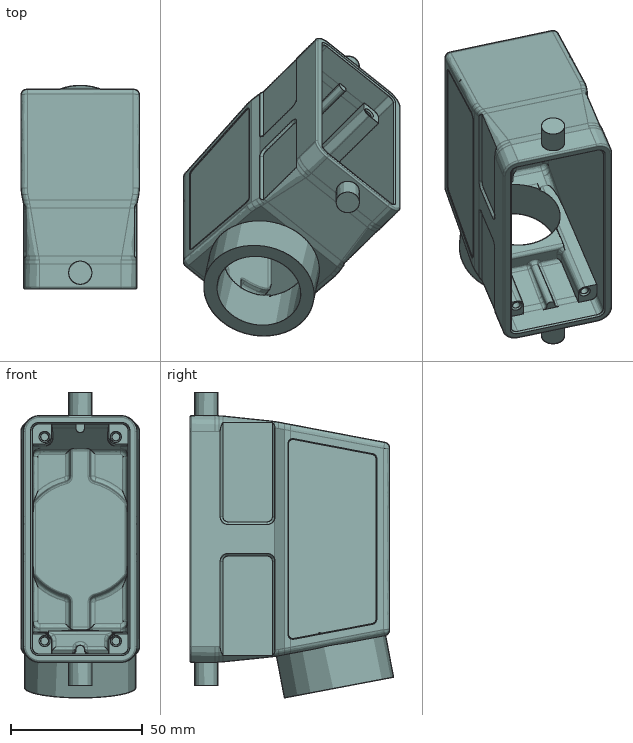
import cadquery as cq
import math


DEPTH = 75.8
MOUTH_HALF_X = 21.5
BACK_HALF_X = 22.5
MOUTH_HALF_Z = 46.8
WAIST_HALF_Z = 44.6
MOUTH_END_Y = 11.1
WAIST_Y = 32.2
SHOULDER_Y = 37.1
TILT = 10.75
MOUTH_CORNER_R = 6.0
BODY_CORNER_R = 2.4
BACK_EDGE_R = 2.3
MOUTH_EDGE_R = 0.7
WALL_EASE = 1.5
SHOULDER_EASE = 1.15

CAVITY_MOUTH_HALF_X = 18.2
CAVITY_BACK_HALF_X = 17.8
CAVITY_MOUTH_HALF_Z = 43.6
CAVITY_WAIST_HALF_Z = 42.0
CAVITY_BACK_HALF_Z = 33.55
CAVITY_CORNER_R = 2.5
BACK_WALL = 2.6
MOUTH_CHAMFER = 0.6

PAD_HEIGHT = 3.0
PAD_DISC_R = 22.9
PAD_BAR_HALF_X = 4.3
PAD_DRAFT = 16.0
PAD_NECK_R = 1.8
PAD_FOOT_R = 1.8
PAD_TOP_R = 0.6
PAD_RIM_R = 0.9

POST_FRONT_Y = 9.0
POST_X = 13.5
POST_Z = 38.7
POST_R = 2.6
POST_DRAFT = 0.9
SCREW_HOLE_D = 3.0
SCREW_HOLE_DEPTH = 20.0
SCREW_CHAMFER = 0.6
RIB_HALF_X = 1.6
RIB_TIP_Z = 40.3

GLAND_D = 42.2
GLAND_BORE_D = 32.0
GLAND_END_Y = 56.58
GLAND_END_Z = -56.37
GLAND_LENGTH = 22.0
GLAND_BORE_LENGTH = 26.0
SEAT_FRONT_Y = 31.5
SEAT_TOP_Z = -34.9
SEAT_HALF_X = 12.0
SEAT_EDGE_R = 1.4

PIN_D = 8.8
PIN_Y = 6.2
PIN_END_Z = 55.6

GRIP_DEPTH = 1.0
GRIP_Y0 = 11.5
GRIP_Y1 = 32.3
GRIP_Z = 5.5
GRIP_CORNER_R = 3.0
PANEL_DEPTH = 0.3
PANEL_Y1 = 70.9
PANEL_MARGIN_Z = 5.2
PANEL_CORNER_R = 2.0
RECESS_DRAFT = 45.0

TILT_SLOPE = math.tan(math.radians(TILT))
BACK_HALF_Z = WAIST_HALF_Z - (DEPTH - WAIST_Y) * TILT_SLOPE
CAVITY_DEPTH = DEPTH - BACK_WALL
PAD_TOP_Y = CAVITY_DEPTH - PAD_HEIGHT
POST_LENGTH = CAVITY_DEPTH - POST_FRONT_Y
CLEARANCE = 1.5


def facing_back(y, x=0, z=0):
    """Workplane at depth y whose normal is +Y; its local axes are +X and -Z."""
    return cq.Workplane(cq.Plane(origin=(x, y, z), xDir=(1, 0, 0), normal=(0, 1, 0)))


def facing_mouth(y):
    """Workplane at depth y whose normal is -Y; its local axes are +X and +Z."""
    return cq.Workplane(cq.Plane(origin=(0, y, 0), xDir=(1, 0, 0), normal=(0, -1, 0)))


def inward_from_side(x):
    """Workplane on the +X side whose normal is -X; its local axes are -Y and +Z."""
    return cq.Workplane(cq.Plane(origin=(x, 0, 0), xDir=(0, -1, 0), normal=(-1, 0, 0)))


def at_depth(y, half_x=BACK_HALF_X, half_z=MOUTH_HALF_Z):
    """Selector of the edges centred in the plane at depth y, within a rectangle."""
    tolerance = 0.01
    return cq.selectors.BoxSelector(
        (-half_x, y - tolerance, -half_z), (half_x, y + tolerance, half_z)
    )


def section_wire(y, half_x, half_z, radius):
    """Rounded rectangle at depth y."""
    outline = cq.Sketch().rect(2 * half_x, 2 * half_z).vertices().fillet(radius)
    return outline.reset().faces().val().outerWire().moved(facing_back(y).plane.location)


def loft_sections(sections):
    """Straight-sided loft through (y, half_x, half_z, corner radius) sections."""
    wires = [section_wire(*section) for section in sections]
    return cq.Workplane(obj=cq.Solid.makeLoft(wires, True)).clean()


def interpolate(knots, y):
    """Value at depth y on the straight-line graph through (y, value) knots."""
    for (y0, value0), (y1, value1) in zip(knots, knots[1:]):
        if y <= y1:
            return value0 + (value1 - value0) * (y - y0) / (y1 - y0)
    raise ValueError("depth beyond the last knot")


def ease(knots, bend_y, half_length):
    """Replace the bend at bend_y by a narrow bevel reaching half_length to each side."""
    eased = []
    for y, value in knots:
        if y == bend_y:
            eased += [(end, interpolate(knots, end)) for end in (y - half_length, y + half_length)]
        else:
            eased.append((y, value))
    return eased


def loft_graphs(graphs, start_y, end_y):
    """Loft whose width, height and corner radius follow three graphs over the depth."""
    bends = {y for graph in graphs for y, _ in graph if start_y < y < end_y}
    depths = sorted(bends | {start_y, end_y})
    return loft_sections([(y, *(interpolate(graph, y) for graph in graphs)) for y in depths])


def outer_body():
    half_x = [
        (0, MOUTH_HALF_X),
        (WAIST_Y, MOUTH_HALF_X),
        (SHOULDER_Y, BACK_HALF_X),
        (DEPTH, BACK_HALF_X),
    ]
    half_z = [
        (0, MOUTH_HALF_Z),
        (MOUTH_END_Y, MOUTH_HALF_Z),
        (WAIST_Y, WAIST_HALF_Z),
        (DEPTH, BACK_HALF_Z),
    ]
    radius = [
        (0, MOUTH_CORNER_R),
        (MOUTH_END_Y, MOUTH_CORNER_R),
        (WAIST_Y, BODY_CORNER_R),
        (DEPTH, BODY_CORNER_R),
    ]
    half_x = ease(half_x, SHOULDER_Y, SHOULDER_EASE)
    half_z = ease(half_z, MOUTH_END_Y, WALL_EASE)
    half_z = ease(half_z, WAIST_Y, WALL_EASE)
    body = loft_graphs((half_x, half_z, radius), 0, DEPTH)
    body = body.faces(">Y").edges().fillet(BACK_EDGE_R)
    return body.faces("<Y").edges().fillet(MOUTH_EDGE_R)


def cavity_space(start_y, end_y):
    """Stretch of the tapering interior between two depths."""
    half_x = [(0, CAVITY_MOUTH_HALF_X), (CAVITY_DEPTH, CAVITY_BACK_HALF_X)]
    half_z = [
        (0, CAVITY_MOUTH_HALF_Z),
        (MOUTH_END_Y, CAVITY_MOUTH_HALF_Z),
        (WAIST_Y, CAVITY_WAIST_HALF_Z),
        (CAVITY_DEPTH, CAVITY_BACK_HALF_Z),
    ]
    half_z = ease(half_z, MOUTH_END_Y, WALL_EASE)
    radius = [(0, CAVITY_CORNER_R), (CAVITY_DEPTH, CAVITY_CORNER_R)]
    return loft_graphs((half_x, half_z, radius), start_y, end_y)


def main_cavity():
    """Interior from the chamfered mouth down to the top of the pad."""
    cavity = cavity_space(0, PAD_TOP_Y).faces(">Y").edges().fillet(PAD_RIM_R)
    inner = (CAVITY_MOUTH_HALF_X, CAVITY_MOUTH_HALF_Z, CAVITY_CORNER_R)
    chamfer = loft_sections([
        (0, *(size + MOUTH_CHAMFER for size in inner)),
        (MOUTH_CHAMFER, *inner),
    ])
    return cavity.union(chamfer)


def pad():
    """Disc crossed by a full-height bar, drafted, standing on the cavity's back face."""
    neck_z = math.sqrt(PAD_DISC_R**2 - PAD_BAR_HALF_X**2)
    bar_end_z = BACK_HALF_Z + PAD_HEIGHT
    outline = (
        cq.Workplane()
        .moveTo(PAD_BAR_HALF_X, neck_z)
        .threePointArc((PAD_DISC_R, 0), (PAD_BAR_HALF_X, -neck_z))
        .lineTo(PAD_BAR_HALF_X, -bar_end_z)
        .lineTo(-PAD_BAR_HALF_X, -bar_end_z)
        .lineTo(-PAD_BAR_HALF_X, -neck_z)
        .threePointArc((-PAD_DISC_R, 0), (-PAD_BAR_HALF_X, neck_z))
        .lineTo(-PAD_BAR_HALF_X, bar_end_z)
        .lineTo(PAD_BAR_HALF_X, bar_end_z)
        .close()
    )
    rounded = cq.Sketch().face(outline.val()).vertices().fillet(PAD_NECK_R)
    height = PAD_HEIGHT + CLEARANCE
    return facing_mouth(CAVITY_DEPTH).placeSketch(rounded).extrude(height, taper=PAD_DRAFT)


def corner_pockets():
    """The four deep corners left around the pad."""
    space = cavity_space(PAD_TOP_Y - CLEARANCE, CAVITY_DEPTH)
    return space.cut(pad()).faces(">Y").edges().fillet(PAD_FOOT_R)


def screw_posts():
    """Drafted corner posts that carry the insert's screws."""
    inner_x = POST_X - POST_R
    inner_z = POST_Z - POST_R
    outer_x = BACK_HALF_X + POST_R
    outer_z = MOUTH_HALF_Z + POST_R
    section = cq.Sketch().rect(outer_x - inner_x, outer_z - inner_z).vertices().fillet(POST_R)
    post = (
        facing_back(POST_FRONT_Y, (inner_x + outer_x) / 2, (inner_z + outer_z) / 2)
        .placeSketch(section)
        .extrude(POST_LENGTH, taper=-POST_DRAFT)
    )
    row = post.union(post.mirror("YZ"))
    return row.union(row.mirror("XY"))


def guide_ribs():
    """Round-nosed ribs along the middle of the top and bottom walls."""
    nose_z = RIB_TIP_Z + RIB_HALF_X
    web_height = MOUTH_HALF_Z - nose_z
    nose = facing_back(POST_FRONT_Y, z=nose_z).circle(RIB_HALF_X).extrude(POST_LENGTH)
    web = (
        facing_back(POST_FRONT_Y, z=nose_z + web_height / 2)
        .rect(2 * RIB_HALF_X, web_height)
        .extrude(POST_LENGTH)
    )
    rib = nose.union(web)
    return rib.union(rib.mirror("XY"))


def gland_seat():
    """Raised block on the bottom wall of the cavity, around the gland bore."""
    height = MOUTH_HALF_Z + SEAT_TOP_Z
    length = CAVITY_DEPTH - SEAT_FRONT_Y
    seat = (
        cq.Workplane("XY", origin=(0, SEAT_FRONT_Y, -MOUTH_HALF_Z))
        .box(2 * SEAT_HALF_X, length, height, centered=(True, False, False))
    )
    return seat.edges("<Y and >Z").fillet(SEAT_EDGE_R)


def cavity_with_fittings():
    """Everything hollow inside the hood, leaving the pad, posts, seat and ribs standing."""
    cavity = main_cavity().union(corner_pockets())
    cavity = cavity.edges(at_depth(PAD_TOP_Y)).fillet(PAD_TOP_R)
    cavity = cavity.cut(screw_posts()).cut(gland_seat())
    cavity = cavity.edges(at_depth(SEAT_FRONT_Y)).fillet(SEAT_EDGE_R)
    cavity = cavity.cut(guide_ribs())
    rib_nose = cavity.edges(at_depth(SEAT_FRONT_Y, half_x=RIB_HALF_X)).edges("%CIRCLE")
    return rib_nose.fillet(SEAT_EDGE_R)


def gland_cylinder(diameter, length):
    """Cylinder from the gland's end face up along the tilted gland axis."""
    tilt = math.radians(TILT)
    axis = (0, -math.sin(tilt), math.cos(tilt))
    plane = cq.Plane(origin=(0, GLAND_END_Y, GLAND_END_Z), xDir=(1, 0, 0), normal=axis)
    return cq.Workplane(plane).circle(diameter / 2).extrude(length)


def locking_pins():
    """Pins rooted in the top and bottom walls of the mouth collar."""
    root_z = CAVITY_MOUTH_HALF_Z + (MOUTH_HALF_Z - CAVITY_MOUTH_HALF_Z) / 2
    pin = (
        cq.Workplane("XY", origin=(0, PIN_Y, root_z))
        .circle(PIN_D / 2)
        .extrude(PIN_END_Z - root_z)
    )
    return pin.union(pin.mirror("XY"))


def screw_holes():
    """Blind holes in the posts with 45 degree lead-ins."""
    hole = facing_back(POST_FRONT_Y, POST_X, POST_Z).circle(SCREW_HOLE_D / 2).extrude(SCREW_HOLE_DEPTH)
    lead_in = (
        facing_back(POST_FRONT_Y, POST_X, POST_Z)
        .circle(SCREW_HOLE_D / 2 + SCREW_CHAMFER)
        .extrude(SCREW_CHAMFER, taper=45)
    )
    corner = hole.union(lead_in)
    row = corner.union(corner.mirror("YZ"))
    return row.union(row.mirror("XY"))


def grip_recess():
    """Drafted side pocket that runs out through the rounded top corner of the body."""
    run_out_z = MOUTH_HALF_Z + GRIP_CORNER_R
    outline = cq.Sketch().rect(GRIP_Y1 - GRIP_Y0, run_out_z - GRIP_Z).vertices().fillet(GRIP_CORNER_R)
    return (
        inward_from_side(MOUTH_HALF_X)
        .center(-(GRIP_Y0 + GRIP_Y1) / 2, (GRIP_Z + run_out_z) / 2)
        .placeSketch(outline)
        .extrude(GRIP_DEPTH, taper=RECESS_DRAFT)
    )


def side_panel():
    """Shallow recess whose sloped edges follow the rear walls."""
    front_z = WAIST_HALF_Z - (SHOULDER_Y - WAIST_Y) * TILT_SLOPE - PANEL_MARGIN_Z
    back_z = front_z - (PANEL_Y1 - SHOULDER_Y) * TILT_SLOPE
    corners = [
        (-SHOULDER_Y, front_z),
        (-PANEL_Y1, back_z),
        (-PANEL_Y1, -back_z),
        (-SHOULDER_Y, -front_z),
    ]
    outline = cq.Sketch().polygon(corners + corners[:1]).vertices().fillet(PANEL_CORNER_R)
    return inward_from_side(BACK_HALF_X).placeSketch(outline).extrude(PANEL_DEPTH, taper=RECESS_DRAFT)


def side_recesses():
    """Grip recesses and panel on both sides of the hood."""
    grip = grip_recess()
    one_side = side_panel().union(grip).union(grip.mirror("XY"))
    return one_side.union(one_side.mirror("YZ"))


result = (
    outer_body()
    .union(gland_cylinder(GLAND_D, GLAND_LENGTH))
    .union(locking_pins())
    .cut(side_recesses())
    .cut(cavity_with_fittings())
    .cut(gland_cylinder(GLAND_BORE_D, GLAND_BORE_LENGTH))
    .cut(screw_holes())
)